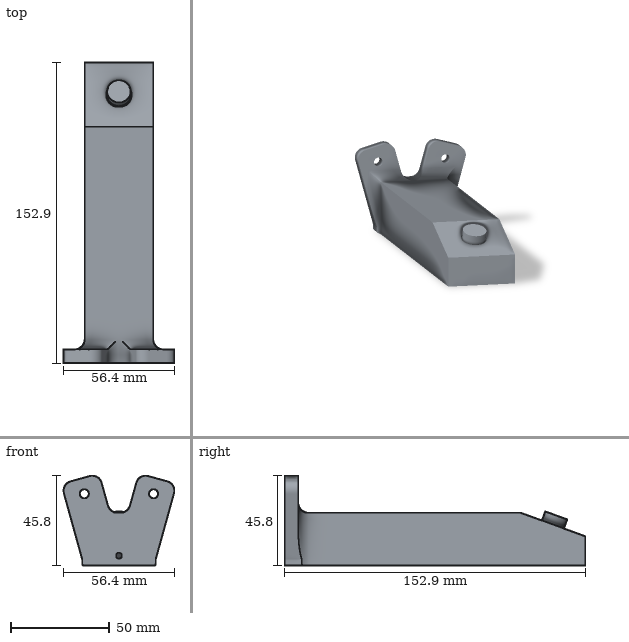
import math

import cadquery as cq


arm_width = 35.0
arm_end_height = 15.0
flat_length = 120.0
slope_length = 35.0
slope_angle = 20.0

pin_diameter = 12.0
pin_height = 4.9
recess_diameter = 13.0
recess_depth = 0.5

plate_thickness = 7.0
waist_height = 3.2
foot_corner_radius = 1.0
cove_radius = 5.0

ear_lean = 15.5
ear_width = 20.0
ear_corner_radius = 5.0
ear_hole_x = 17.595
ear_hole_z = 36.572
ear_hole_to_tip = 8.0
ear_hole_diameter = 4.5
slot_corner_radius = 5.0

pilot_diameter = 3.0
pilot_depth = 10.0
pilot_z = 5.1

lean_sin = math.sin(math.radians(ear_lean))
lean_cos = math.cos(math.radians(ear_lean))
slope_sin = math.sin(math.radians(slope_angle))
slope_cos = math.cos(math.radians(slope_angle))
arm_height = arm_end_height + slope_length * slope_sin
arm_length = flat_length + slope_length * slope_cos

plate_depth = plate_thickness + cove_radius


def ear_point(across, along):
    """X and Z of a point in the right ear, measured from its hole across and along the ear."""
    x = ear_hole_x + across * lean_cos + along * lean_sin
    z = ear_hole_z - across * lean_sin + along * lean_cos
    return (x, z)


def ear_edge_at_z(across, z):
    """Point where an ear side, at a given offset across the ear, reaches a given Z."""
    along = (z - ear_hole_z + across * lean_sin) / lean_cos
    return ear_point(across, along)


def round_corners(plate, corners, radius):
    """Round the plate edges that run along Y through the given X, Z corners."""
    for x, z in corners:
        plate = plate.edges(cq.selectors.NearestToPointSelector((x, plate_depth / 2, z))).fillet(radius)
    return plate


def mirrored(points):
    return [(-x, z) for x, z in reversed(points)]


def make_outline_prism():
    """Plate outline, with its slot and rounded corners, extruded back to the end of the cove."""
    half_ear = ear_width / 2
    slot_corner = ear_edge_at_z(-half_ear, arm_height)
    inner_tip = ear_point(-half_ear, ear_hole_to_tip)
    outer_tip = ear_point(half_ear, ear_hole_to_tip)
    waist = ear_edge_at_z(half_ear, waist_height)
    foot = (waist[0], 0)

    right_side = [slot_corner, inner_tip, outer_tip, waist, foot]
    outline = right_side + mirrored(right_side)
    prism = cq.Workplane("XZ").polyline(outline).close().extrude(-plate_depth)

    tips = [inner_tip, outer_tip]
    prism = round_corners(prism, tips + mirrored(tips), ear_corner_radius)
    prism = round_corners(prism, [slot_corner] + mirrored([slot_corner]), slot_corner_radius)
    return round_corners(prism, [foot] + mirrored([foot]), foot_corner_radius)


def make_arm():
    side_profile = [
        (0, 0),
        (0, arm_height),
        (flat_length, arm_height),
        (arm_length, arm_end_height),
        (arm_length, 0),
    ]
    return cq.Workplane("YZ").polyline(side_profile).close().extrude(arm_width / 2, both=True)


def make_end_plate(arm):
    """End plate with a concave fillet running round the sides and top of the arm."""
    slab_size = 4 * arm_height
    slab = cq.Workplane("XY").box(slab_size, plate_thickness, slab_size, centered=(True, False, False))
    joined = slab.union(arm)
    margin = 0.1
    joint_edges = cq.selectors.BoxSelector(
        (-arm_width / 2 - margin, plate_thickness - margin, margin),
        (arm_width / 2 + margin, plate_thickness + margin, arm_height + margin),
    )
    return joined.edges(joint_edges).fillet(cove_radius).intersect(make_outline_prism())


def drill_plate(body):
    ear_holes = (
        cq.Workplane("XZ")
        .pushPoints([(-ear_hole_x, ear_hole_z), (ear_hole_x, ear_hole_z)])
        .circle(ear_hole_diameter / 2)
        .extrude(-plate_depth)
    )
    pilot = cq.Workplane("XZ").center(0, pilot_z).circle(pilot_diameter / 2).extrude(-pilot_depth)
    return body.cut(ear_holes).cut(pilot)


def add_pin(body):
    slope_middle = (
        0,
        (flat_length + arm_length) / 2,
        (arm_height + arm_end_height) / 2,
    )
    slope_plane = cq.Plane(origin=slope_middle, xDir=(1, 0, 0), normal=(0, slope_sin, slope_cos))
    recess = cq.Workplane(slope_plane).circle(recess_diameter / 2).extrude(-recess_depth)
    pin = (
        cq.Workplane(slope_plane)
        .workplane(offset=-recess_depth)
        .circle(pin_diameter / 2)
        .extrude(recess_depth + pin_height)
    )
    return body.cut(recess).union(pin)


arm = make_arm()
result = add_pin(drill_plate(arm.union(make_end_plate(arm))))